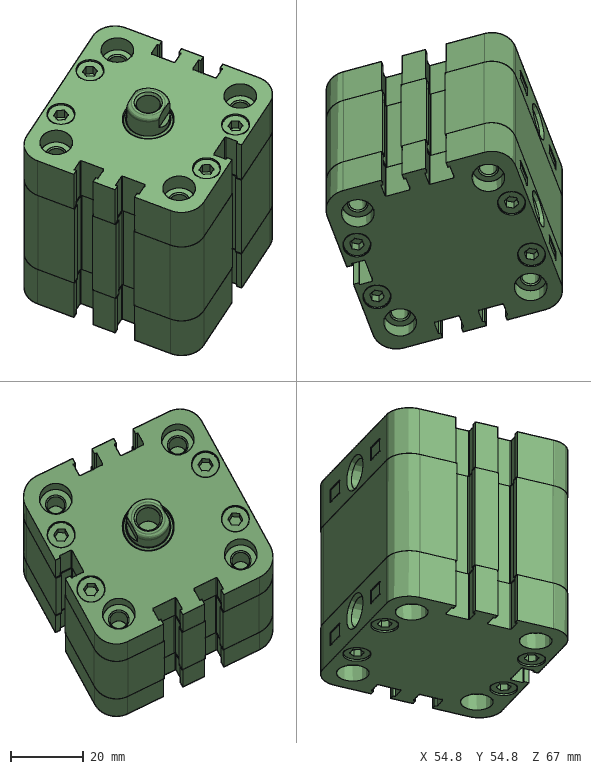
import cadquery as cq
import math

WIDTH = 54.8
HEIGHT = 60.0
CAP_HEIGHT = 14.5
BARREL_HEIGHT = HEIGHT - 2 * CAP_HEIGHT
CAP_CORNER_RADIUS = 6.85
BARREL_CORNER_RADIUS = 7.0

SLOT_OFFSET = 6.4
SLOT_DEPTH = 5.45
BARREL_NECK_WIDTH = 5.5
BARREL_CHANNEL_WIDTH = 6.8
BARREL_LIP = 1.85
SLOT_FLOOR_CHAMFER = 0.25
CAP_SLOT_CLEARANCE = 0.25

MOUNT_OFFSET = 19.0
MOUNT_BORE_DIAMETER = 9.0
MOUNT_BORE_DEPTH = 5.0
MOUNT_THREAD_DIAMETER = 4.92
MOUNT_CHAMFER_DIAMETER = 5.7
MOUNT_THREAD_DEPTH = 13.0

SCREW_X = 22.5
SCREW_Y = 9.0
SCREW_HEAD_DIAMETER = 7.5
SCREW_BORE_DIAMETER = 7.7
SCREW_BORE_DEPTH = 1.0
SCREW_HEAD_DROP = 0.5
HEX_ACROSS_FLATS = 3.5
HEX_DEPTH = 3.0

PORT_DIAMETER = 8.57
PORT_CHAMFER_DIAMETER = 10.4
PORT_CHAMFER_DEPTH = 1.0
PORT_DROP = 8.0
CYLINDER_DIAMETER = 40.0

LABEL_OFFSET = 13.0
LABEL_DROP = 7.25
LABEL_WIDTH = 6.0
LABEL_HEIGHT = 4.0
LABEL_DEPTH = 0.3

ROD_DIAMETER = 12.0
ROD_PROTRUSION = 7.0
ROD_TOP_FILLET = 1.3
ROD_FLAT_WIDTH = 10.0
ROD_FLAT_HEIGHT = 4.5
ROD_THREAD_DIAMETER = 6.65
ROD_THREAD_CHAMFER_DIAMETER = 7.8
ROD_THREAD_CHAMFER_DEPTH = 0.8
ROD_THREAD_DEPTH = 12.0

WIPER_MOUTH_DIAMETER = 14.4
WIPER_GROOVE_OUTER_DIAMETER = 14.0
WIPER_GROOVE_INNER_DIAMETER = 13.7
WIPER_LIP_DIAMETER = 12.54
WIPER_GROOVE_DEPTH = 0.6


def slot_cutter(height, clearance):
    """T-shaped slot opening on the -Y face, centred on X = 0, with bevelled floor corners."""
    neck = BARREL_NECK_WIDTH + 2 * clearance
    channel = BARREL_CHANNEL_WIDTH + 2 * clearance
    lip = BARREL_LIP - clearance
    face = -WIDTH / 2
    channel_depth = SLOT_DEPTH - lip
    neck_box = cq.Workplane("XY").box(neck, SLOT_DEPTH, height, centered=(True, False, False))
    channel_box = cq.Workplane("XY").box(channel, channel_depth, height, centered=(True, False, False))
    channel_box = channel_box.faces(">Y").edges("|Z").chamfer(SLOT_FLOOR_CHAMFER)
    return neck_box.union(channel_box.translate((0, lip, 0))).translate((0, face, 0))


def slotted_block(height, corner_radius, clearance):
    """Rounded square block with two slots on +Y and -Y and one on +X."""
    block = cq.Workplane("XY").rect(WIDTH, WIDTH).extrude(height).edges("|Z").fillet(corner_radius)
    slot = slot_cutter(height, clearance)
    for x in (-SLOT_OFFSET, SLOT_OFFSET):
        lower = slot.translate((x, 0, 0))
        block = block.cut(lower).cut(lower.mirror("XZ"))
    return block.cut(slot.rotate((0, 0, 0), (0, 0, 1), 90))


def revolve_profile(points):
    """Solid of revolution about Z from (radius, z) points."""
    return cq.Workplane("XZ").polyline(points).close().revolve(360, (0, 0, 0), (0, 1, 0))


def mount_cutter():
    """Counterbore and chamfered thread hole going down from the cap face."""
    bore = MOUNT_BORE_DIAMETER / 2
    thread = MOUNT_THREAD_DIAMETER / 2
    chamfer = MOUNT_CHAMFER_DIAMETER / 2
    chamfer_end = MOUNT_BORE_DEPTH + chamfer - thread
    profile = [
        (0, 0),
        (bore, 0),
        (bore, -MOUNT_BORE_DEPTH),
        (chamfer, -MOUNT_BORE_DEPTH),
        (thread, -chamfer_end),
        (thread, -MOUNT_THREAD_DEPTH),
        (0, -MOUNT_THREAD_DEPTH),
    ]
    return revolve_profile(profile).translate((0, 0, CAP_HEIGHT))


def screw_cutter():
    """Recess over a screw head, the thin gap around it and its hex socket."""
    recess = cq.Workplane("XY").circle(SCREW_BORE_DIAMETER / 2).extrude(-SCREW_BORE_DEPTH)
    head = (
        cq.Workplane("XY")
        .workplane(offset=-SCREW_BORE_DEPTH)
        .circle(SCREW_HEAD_DIAMETER / 2)
        .extrude(SCREW_BORE_DEPTH - SCREW_HEAD_DROP)
    )
    across_corners = HEX_ACROSS_FLATS / math.cos(math.pi / 6)
    socket = (
        cq.Workplane("XY")
        .polygon(6, across_corners)
        .extrude(-SCREW_HEAD_DROP - HEX_DEPTH)
        .rotate((0, 0, 0), (0, 0, 1), 30)
    )
    return recess.cut(head).union(socket).translate((0, 0, CAP_HEIGHT))


def port_cutter():
    """Chamfered port from the -X face to the cylinder wall."""
    bore = PORT_DIAMETER / 2
    mouth = PORT_CHAMFER_DIAMETER / 2
    port_length = (WIDTH - CYLINDER_DIAMETER) / 2 + bore
    profile = [(0, 0), (mouth, 0), (bore, -PORT_CHAMFER_DEPTH), (bore, -port_length), (0, -port_length)]
    port = revolve_profile(profile).rotate((0, 0, 0), (0, 1, 0), -90)
    port = port.translate((-WIDTH / 2, 0, CAP_HEIGHT - PORT_DROP))
    return port.cut(cq.Workplane("XY").circle(CYLINDER_DIAMETER / 2).extrude(CAP_HEIGHT))


def make_cap():
    """End cap with its outer face up, standing on Z = 0."""
    cap = slotted_block(CAP_HEIGHT, CAP_CORNER_RADIUS, CAP_SLOT_CLEARANCE)
    for side_x in (-1, 1):
        for side_y in (-1, 1):
            cap = cap.cut(mount_cutter().translate((side_x * MOUNT_OFFSET, side_y * MOUNT_OFFSET, 0)))
            cap = cap.cut(screw_cutter().translate((side_x * SCREW_X, side_y * SCREW_Y, 0)))
    cap = cap.cut(port_cutter())
    for y in (-LABEL_OFFSET, LABEL_OFFSET):
        label = cq.Workplane("XY").box(2 * LABEL_DEPTH, LABEL_WIDTH, LABEL_HEIGHT)
        cap = cap.cut(label.translate((-WIDTH / 2, y, CAP_HEIGHT - LABEL_DROP)))
    return cap


def make_lower_cap():
    """The end cap turned over about the X axis, outer face at Z = 0."""
    return make_cap().rotate((0, 0, 0), (1, 0, 0), 180).translate((0, 0, CAP_HEIGHT))


def wiper_cutter():
    """Annular groove around the rod lip, with a small bevel from the lip to the rod."""
    rod = ROD_DIAMETER / 2
    lip = WIPER_LIP_DIAMETER / 2
    groove_floor = -WIPER_GROOVE_DEPTH
    groove = revolve_profile([
        (WIPER_MOUTH_DIAMETER / 2, 0),
        (WIPER_GROOVE_OUTER_DIAMETER / 2, groove_floor),
        (WIPER_GROOVE_INNER_DIAMETER / 2, groove_floor),
        (lip, 0),
    ])
    bevel = revolve_profile([(0, 0), (lip, 0), (rod, rod - lip), (0, rod - lip)])
    return groove.union(bevel).translate((0, 0, CAP_HEIGHT))


def make_upper_cap():
    """The end cap on top of the barrel, opened for the rod and its wiper lip."""
    rod_hole = cq.Workplane("XY").circle(ROD_DIAMETER / 2).extrude(CAP_HEIGHT)
    cap = make_cap().cut(rod_hole).cut(wiper_cutter())
    return cap.translate((0, 0, HEIGHT - CAP_HEIGHT))


def make_barrel():
    """Slotted profile between the two caps."""
    barrel = slotted_block(BARREL_HEIGHT, BARREL_CORNER_RADIUS, 0)
    return barrel.translate((0, 0, CAP_HEIGHT))


def make_rod():
    """Rod through the upper cap with two wrench flats and a threaded end."""
    top = HEIGHT + ROD_PROTRUSION
    radius = ROD_DIAMETER / 2
    rod = cq.Workplane("XY").circle(radius).extrude(CAP_HEIGHT + ROD_PROTRUSION)
    rod = rod.translate((0, 0, HEIGHT - CAP_HEIGHT)).faces(">Z").edges().fillet(ROD_TOP_FILLET)

    flat = ROD_FLAT_WIDTH / 2
    flat_end = top - ROD_FLAT_HEIGHT
    profile = [(flat, top), (flat, flat_end), (radius, flat_end - (radius - flat)), (radius, top)]
    flat_cut = cq.Workplane("XZ").polyline(profile).close().extrude(radius, both=True)
    rod = rod.cut(flat_cut).cut(flat_cut.mirror("YZ"))

    thread = ROD_THREAD_DIAMETER / 2
    mouth = ROD_THREAD_CHAMFER_DIAMETER / 2
    hole = [
        (0, 0),
        (mouth, 0),
        (thread, -ROD_THREAD_CHAMFER_DEPTH),
        (thread, -ROD_THREAD_DEPTH),
        (0, -ROD_THREAD_DEPTH),
    ]
    return rod.cut(revolve_profile(hole).translate((0, 0, top)))


lower_cap = make_lower_cap()
barrel = make_barrel()
upper_cap = make_upper_cap()
piston_rod = make_rod()

result = cq.Compound.makeCompound([lower_cap.val(), barrel.val(), upper_cap.val(), piston_rod.val()])